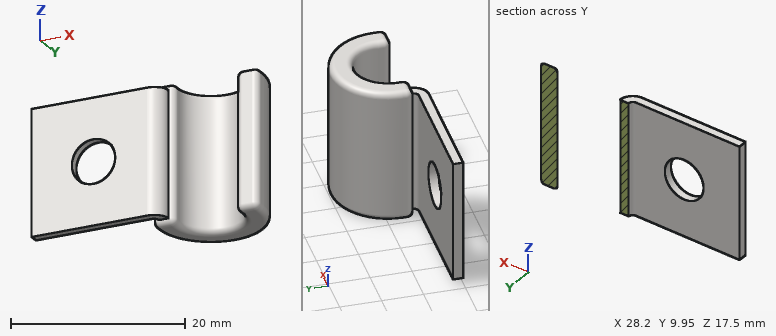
import cadquery as cq

total_length = 28.18
total_depth = 9.95
cushion_width = 17.47

outer_radius = 6.8
inner_radius = 3.95
edge_round = 0.75
strip_leg = 1.32
free_leg = 1.55

strip_width = 15.9
strip_thickness = 1.2
inner_bend = 0.6
hole_diameter = 5.52
hole_from_end = 7.92

ring_x = total_length - outer_radius
ring_y = total_depth - outer_radius
wall_middle = (outer_radius + inner_radius) / 2
strip_outer_x = ring_x - wall_middle + strip_thickness / 2
strip_inner_x = strip_outer_x - strip_thickness
outer_bend = inner_bend + strip_thickness
bend_x = strip_outer_x - outer_bend
bend_diagonal = 0.5 ** 0.5


def make_cushion():
    """Half-round cushion with rounded rims and leg ends."""
    strip_end_y = ring_y - strip_leg
    free_end_y = ring_y - free_leg
    profile = (
        cq.Workplane("XY", origin=(0, 0, -cushion_width / 2))
        .moveTo(ring_x - outer_radius, strip_end_y)
        .lineTo(ring_x - outer_radius, ring_y)
        .threePointArc((ring_x, ring_y + outer_radius), (ring_x + outer_radius, ring_y))
        .lineTo(ring_x + outer_radius, free_end_y)
        .lineTo(ring_x + inner_radius, free_end_y)
        .lineTo(ring_x + inner_radius, ring_y)
        .threePointArc((ring_x, ring_y + inner_radius), (ring_x - inner_radius, ring_y))
        .lineTo(ring_x - inner_radius, strip_end_y)
        .close()
    )
    body = profile.extrude(cushion_width)
    leg_corners = cq.selectors.BoxSelector(
        (0, strip_end_y - edge_round, -cushion_width),
        (total_length + edge_round, strip_end_y + edge_round / 2, cushion_width),
    )
    rim_edges = body.faces("|Z").edges()
    return rim_edges.add(body.edges(leg_corners)).fillet(edge_round)


def make_strip():
    """Flat plate bent up into the cushion leg, with a fixing hole."""
    def bend_point(radius):
        return bend_x + radius * bend_diagonal, outer_bend - radius * bend_diagonal

    profile = (
        cq.Workplane("XY", origin=(0, 0, -strip_width / 2))
        .lineTo(bend_x, 0)
        .threePointArc(bend_point(outer_bend), (strip_outer_x, outer_bend))
        .lineTo(strip_outer_x, ring_y)
        .lineTo(strip_inner_x, ring_y)
        .lineTo(strip_inner_x, outer_bend)
        .threePointArc(bend_point(inner_bend), (bend_x, strip_thickness))
        .lineTo(0, strip_thickness)
        .close()
    )
    hole = (
        cq.Workplane("XZ")
        .center(hole_from_end, 0)
        .circle(hole_diameter / 2)
        .extrude(-strip_thickness)
    )
    return profile.extrude(strip_width).cut(hole)


result = make_cushion().union(make_strip())